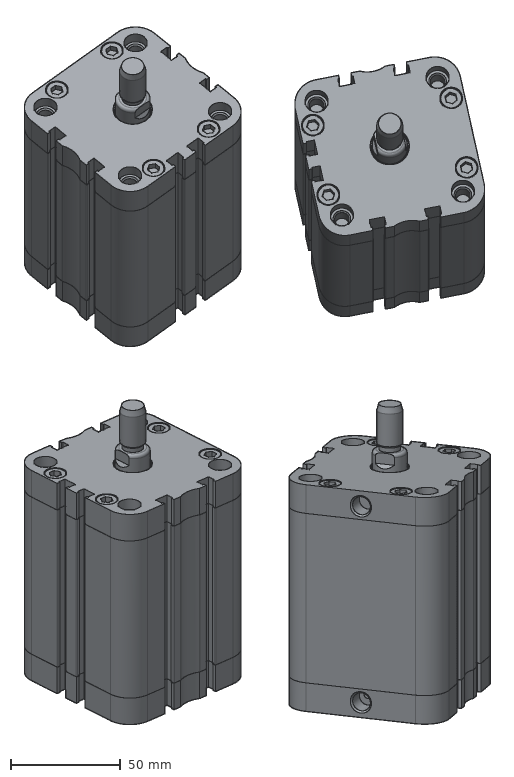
import cadquery as cq
import math

width = 77.0
total_height = 139.0
body_height = 108.8
cap_height = 13.8
corner_radius = 12.0

cap_slot_opening = 5.7
barrel_slot_opening = 5.3
barrel_edge_fillet = 0.4
slot_inner_width = 7.1
slot_depth = 5.4
slot_lip = 1.7
slot_offset_y_faces = 12.9
slot_offset_x_face = 6.4
hollow_width = 11.8
hollow_depth = 1.4

mount_offset = 28.2
mount_bore = 10.5
mount_bore_depth = 5.4
mount_thread = 6.7
mount_mouth = 8.0

screw_x = 32.2
screw_y = 17.2
screw_recess = 10.3
screw_head = 9.6
screw_gap_depth = 1.4
screw_head_drop = 0.3
hex_flats = 5.0
hex_depth = 3.0
left_hex_angle = 30
right_hex_angle = 0

port_mouth = 10.3
port_bore = 8.6
port_depth = 9.7
port_inset = 7.4
air_passage = 4.0
air_passage_rise = 0.8
air_passage_depth = 5.5

rod_diameter = 16.0
rod_shoulder_z = 117.2
rod_shoulder_fillet = 1.7
rod_gap_mouth = 18.0
rod_gap_diameter = 17.7
rod_gap_depth = 1.0
rod_clearance = 16.5
rod_clearance_depth = 2.8
thread_diameter = 12.0
thread_tip_diameter = 10.3
thread_tip_length = 3.0
thread_end_z = 120.2
undercut_diameter = 10.0
flat_across = 13.0
flat_bottom_z = 111.9
flat_runout = 1.8

half_width = width / 2
top_cap_z = body_height - cap_height
barrel_height = body_height - 2 * cap_height
mount_points = [(x, y) for x in (-mount_offset, mount_offset) for y in (-mount_offset, mount_offset)]


def revolved(outline):
    """Solid of revolution about Z from (radius, z) points."""
    return cq.Workplane("XZ").polyline(outline).close().revolve(360, (0, 0, 0), (0, 1, 0))


def t_slot(slot_opening, height):
    """T-slot cutter that opens towards +Y at the middle of the +Y face."""
    opening = cq.Workplane("XY").rect(slot_opening, 2 * slot_depth).extrude(height)
    channel_depth = slot_depth - slot_lip
    channel = (
        cq.Workplane("XY")
        .center(0, -slot_lip - channel_depth / 2)
        .rect(slot_inner_width, channel_depth)
        .extrude(height)
    )
    return opening.union(channel).translate((0, half_width, 0))


def hollow(height):
    """Shallow round hollow at the middle of the +Y face."""
    radius = ((hollow_width / 2) ** 2 + hollow_depth**2) / (2 * hollow_depth)
    centre_y = half_width - hollow_depth + radius
    return cq.Workplane("XY").center(0, centre_y).circle(radius).extrude(height)


def profile_block(slot_opening, height, base_z):
    """Rounded square block with the slots and hollows of the body."""
    block = cq.Workplane("XY").rect(width, width).extrude(height).edges("|Z").fillet(corner_radius)
    for face_angle in (0, 180):
        face_cutters = [hollow(height)]
        for offset in (-slot_offset_y_faces, slot_offset_y_faces):
            face_cutters.append(t_slot(slot_opening, height).translate((offset, 0, 0)))
        for cutter in face_cutters:
            block = block.cut(cutter.rotate((0, 0, 0), (0, 0, 1), face_angle))
    for offset in (-slot_offset_x_face, slot_offset_x_face):
        slot = t_slot(slot_opening, height).translate((offset, 0, 0))
        block = block.cut(slot.rotate((0, 0, 0), (0, 0, 1), -90))
    return block.translate((0, 0, base_z))


def round_opening_edges(barrel):
    """Round the long outer edges where slots and hollows meet the flat faces."""
    flat_end = half_width - corner_radius
    margin = 0.1
    for face_angle in (0, 180, -90):
        zone = cq.selectors.BoxSelector(
            (-flat_end + margin, half_width - margin, 0),
            (flat_end - margin, half_width + margin, body_height),
        )
        turned = barrel.rotate((0, 0, 0), (0, 0, 1), -face_angle)
        turned = turned.edges("|Z").edges(zone).fillet(barrel_edge_fillet)
        barrel = turned.rotate((0, 0, 0), (0, 0, 1), face_angle)
    return barrel


def cylinder_along_x(diameter, start_x, length, z):
    return cq.Workplane("YZ", origin=(start_x, 0, z)).circle(diameter / 2).extrude(length)


def port(z):
    """Air port cutter with a 45 degree chamfer at the -X face."""
    chamfer = (port_mouth - port_bore) / 2
    bore = cylinder_along_x(port_bore, -half_width, port_depth, z)
    mouth = cq.Solid.makeCone(
        port_mouth / 2, port_bore / 2, chamfer, pnt=cq.Vector(-half_width, 0, z), dir=cq.Vector(1, 0, 0)
    )
    return bore.union(cq.Workplane(mouth))


def mounting_hole():
    """Stepped hole cutter through the top cap, on the Z axis."""
    cone_depth = (mount_mouth - mount_thread) / 2
    bore_floor_z = body_height - mount_bore_depth
    outline = [
        (0, top_cap_z),
        (mount_thread / 2, top_cap_z),
        (mount_thread / 2, bore_floor_z - cone_depth),
        (mount_mouth / 2, bore_floor_z),
        (mount_bore / 2, bore_floor_z),
        (mount_bore / 2, body_height),
        (0, body_height),
    ]
    return revolved(outline)


def screw_marking(hex_angle):
    """Ring gap and hexagon socket cutter of one sunk screw head, on the Z axis."""
    gap = (
        cq.Workplane("XY", origin=(0, 0, body_height))
        .circle(screw_recess / 2)
        .circle(screw_head / 2)
        .extrude(-screw_gap_depth)
    )
    socket = (
        cq.Workplane("XY", origin=(0, 0, body_height))
        .polygon(6, hex_flats / math.cos(math.pi / 6))
        .extrude(-hex_depth)
        .rotate((0, 0, 0), (0, 0, 1), hex_angle)
    )
    head_clearance = (
        cq.Workplane("XY", origin=(0, 0, body_height)).circle(screw_recess / 2).extrude(-screw_head_drop)
    )
    return gap.union(head_clearance).union(socket)


def rod_hole():
    """Cutter for the rod: a seat, a clearance step and a chamfered ring gap at the top."""
    mouth_chamfer = (rod_gap_mouth - rod_gap_diameter) / 2
    outline = [
        (0, top_cap_z),
        (rod_diameter / 2, top_cap_z),
        (rod_diameter / 2, body_height - rod_clearance_depth),
        (rod_clearance / 2, body_height - rod_clearance_depth),
        (rod_clearance / 2, body_height - rod_gap_depth),
        (rod_gap_diameter / 2, body_height - rod_gap_depth),
        (rod_gap_diameter / 2, body_height - mouth_chamfer),
        (rod_gap_mouth / 2, body_height),
        (0, body_height),
    ]
    return revolved(outline)


def make_barrel():
    barrel = profile_block(barrel_slot_opening, barrel_height, cap_height)
    return round_opening_edges(barrel)


def make_bottom_cap():
    passage = cylinder_along_x(
        air_passage, -half_width, port_depth + air_passage_depth, port_inset + air_passage_rise
    )
    return profile_block(cap_slot_opening, cap_height, 0).cut(port(port_inset)).cut(passage)


def make_top_cap():
    cap = profile_block(cap_slot_opening, cap_height, top_cap_z).cut(port(body_height - port_inset))
    cap = cap.cut(rod_hole())
    for x, y in mount_points:
        cap = cap.cut(mounting_hole().translate((x, y, 0)))
    for x, hex_angle in ((-screw_x, left_hex_angle), (screw_x, right_hex_angle)):
        for y in (-screw_y, screw_y):
            cap = cap.cut(screw_marking(hex_angle).translate((x, y, 0)))
    return cap


def wrench_flat():
    """Cutter for the +X wrench flat, with a sloping run-out at its lower end."""
    flat_x = flat_across / 2
    outer_x = rod_diameter
    runout_slope = flat_runout / (rod_diameter / 2 - flat_x)
    outline = [
        (flat_x, flat_bottom_z),
        (outer_x, flat_bottom_z - runout_slope * (outer_x - flat_x)),
        (outer_x, rod_shoulder_z),
        (flat_x, rod_shoulder_z),
    ]
    return cq.Workplane("XZ").polyline(outline).close().extrude(rod_diameter / 2, both=True)


def make_piston_rod():
    undercut_top_z = thread_end_z - (thread_diameter - undercut_diameter) / 2
    rod = (
        cq.Workplane("XY", origin=(0, 0, top_cap_z))
        .circle(rod_diameter / 2)
        .extrude(rod_shoulder_z - top_cap_z)
        .faces(">Z")
        .edges()
        .fillet(rod_shoulder_fillet)
    )
    for angle in (0, 180):
        rod = rod.cut(wrench_flat().rotate((0, 0, 0), (0, 0, 1), angle))
    stud_outline = [
        (0, rod_shoulder_z),
        (undercut_diameter / 2, rod_shoulder_z),
        (undercut_diameter / 2, undercut_top_z),
        (thread_diameter / 2, thread_end_z),
        (thread_diameter / 2, total_height - thread_tip_length),
        (thread_tip_diameter / 2, total_height),
        (0, total_height),
    ]
    return rod.union(revolved(stud_outline))


barrel = make_barrel()
bottom_cap = make_bottom_cap()
top_cap = make_top_cap()
piston_rod = make_piston_rod()

result = cq.Compound.makeCompound(
    [barrel.val(), bottom_cap.val(), top_cap.val(), piston_rod.val()]
)